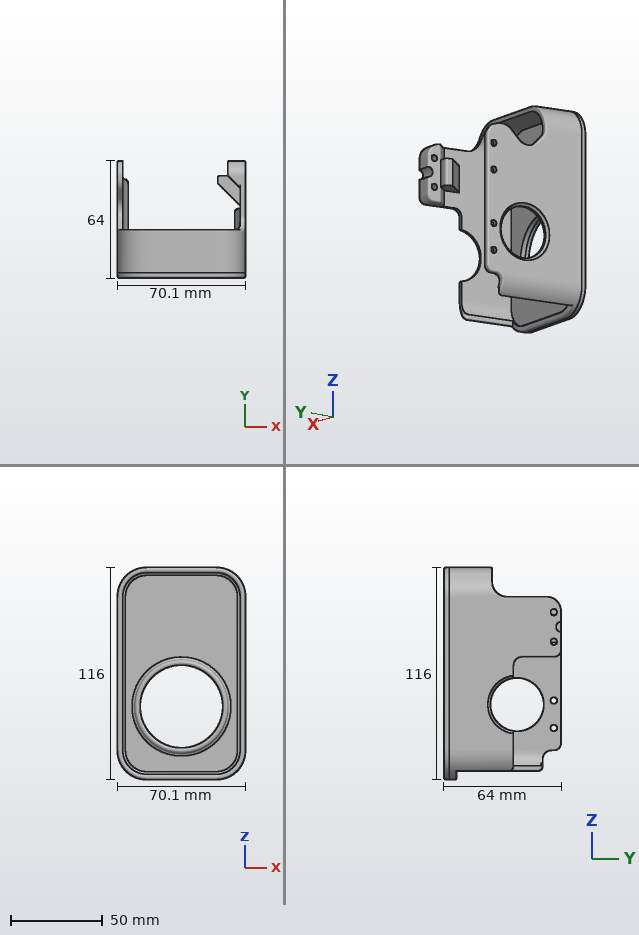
import cadquery as cq
import math

WIDTH = 70.1
DEPTH = 64.0
HEIGHT = 116
CORNER_R = 16.0
WALL = 3.0
EDGE_R = 1.0
HALF_WIDTH = WIDTH / 2
TOLERANCE = 0.06

BEAD_R = WALL / 2
PLATE_FRONT = 2 * BEAD_R
PLATE_BACK = PLATE_FRONT + WALL

LENS_R = 22.5
LENS_Z = 40.0

ROOF_DEPTH = 26.5
SIDE_TOP = HEIGHT - CORNER_R
SIDE_BOTTOM = CORNER_R
BLEND_R = 8.0
FOOT_CORNER_R = 4.0
FOOT_BLEND_R = 4.6
FOOT_END_R = 2.3
LEFT_FOOT_DEPTH = 54.0
RIGHT_FOOT_DEPTH = 38.0
NOTCH_BOTTOM = 90.0
NOTCH_EXIT_R = 5.5

WINDOW_R = 14.5
WINDOW_CHAMFER = 1.5
WINDOW_Y = 40.0
WINDOW_Z = 41.1

FLOOR_LIP = 7.0
FLOOR_MARGIN = 6.0

SCREW_R = 1.7
SCREW_Y = DEPTH - 4.0
LEFT_SCREWS_Z = (28.3, 43.3, 73.3, 88.3)
RIGHT_SCREWS_Z = (75.4, 91.5)

BLOCK_THICKNESS = 9.9
BLOCK_LENGTH = 8.0
BLOCK_BOTTOM = 67.0
CABLE_NOTCH_R = 2.8
CABLE_NOTCH_Z = sum(RIGHT_SCREWS_Z) / 2
SHELF_THICKNESS = 15.3
SHELF_TIP = 4.2
SHELF_TIP_R = 1.4
SHELF_TOP = 91.0
SHELF_BOTTOM = 2 * CABLE_NOTCH_Z - SHELF_TOP


def rounded_block(inset, y_start, y_end):
    """Upright rounded slab, inset evenly from the outer outline of the housing."""
    return (
        cq.Workplane("XZ", origin=(0, y_start, HEIGHT / 2))
        .rect(WIDTH - 2 * inset, HEIGHT - 2 * inset)
        .extrude(y_start - y_end)
        .edges("|Y")
        .fillet(CORNER_R - inset)
    )


def side_sketch(x):
    return cq.Workplane("YZ", origin=(x, 0, 0))


def left_side_region():
    """Side outline of the left half: a tall ear with a valley between it and the roof."""
    diagonal = math.sqrt(0.5)
    step = BLEND_R * diagonal
    exit_step = NOTCH_EXIT_R * diagonal
    exit_y = ROOF_DEPTH + NOTCH_EXIT_R - exit_step
    exit_z = SIDE_TOP - exit_step
    valley_z = NOTCH_BOTTOM + BLEND_R
    valley_y = exit_y + exit_z - (valley_z - step) + step
    ear_z = SIDE_TOP - BLEND_R
    ear_y = valley_y + 4 * step - (valley_z - ear_z)
    return (
        side_sketch(-HALF_WIDTH)
        .moveTo(0, 0)
        .lineTo(0, HEIGHT)
        .lineTo(ROOF_DEPTH, HEIGHT)
        .lineTo(ROOF_DEPTH, SIDE_TOP)
        .radiusArc((exit_y, exit_z), -NOTCH_EXIT_R)
        .lineTo(valley_y - step, valley_z - step)
        .radiusArc((valley_y + step, valley_z - step), -BLEND_R)
        .lineTo(ear_y - step, ear_z + step)
        .radiusArc((ear_y, SIDE_TOP), BLEND_R)
        .lineTo(DEPTH - BLEND_R, SIDE_TOP)
        .radiusArc((DEPTH, ear_z), BLEND_R)
        .lineTo(DEPTH, SIDE_BOTTOM + FOOT_CORNER_R)
        .radiusArc((DEPTH - FOOT_CORNER_R, SIDE_BOTTOM), FOOT_CORNER_R)
        .lineTo(LEFT_FOOT_DEPTH + FOOT_BLEND_R, SIDE_BOTTOM)
        .radiusArc((LEFT_FOOT_DEPTH, SIDE_BOTTOM - FOOT_BLEND_R), -FOOT_BLEND_R)
        .lineTo(LEFT_FOOT_DEPTH, 0)
        .close()
        .extrude(HALF_WIDTH)
    )


def right_side_region():
    """Side outline of the right half: an arm at the top that carries the mounting block."""
    return (
        side_sketch(0)
        .moveTo(0, 0)
        .lineTo(0, HEIGHT)
        .lineTo(ROOF_DEPTH, HEIGHT)
        .lineTo(ROOF_DEPTH, SIDE_TOP + BLEND_R)
        .radiusArc((ROOF_DEPTH + BLEND_R, SIDE_TOP), -BLEND_R)
        .lineTo(DEPTH - BLEND_R, SIDE_TOP)
        .radiusArc((DEPTH, SIDE_TOP - BLEND_R), BLEND_R)
        .lineTo(DEPTH, BLOCK_BOTTOM + FOOT_CORNER_R)
        .radiusArc((DEPTH - FOOT_CORNER_R, BLOCK_BOTTOM), FOOT_CORNER_R)
        .lineTo(RIGHT_FOOT_DEPTH + FOOT_BLEND_R, BLOCK_BOTTOM)
        .radiusArc((RIGHT_FOOT_DEPTH, BLOCK_BOTTOM - FOOT_BLEND_R), -FOOT_BLEND_R)
        .lineTo(RIGHT_FOOT_DEPTH, 0)
        .close()
        .extrude(HALF_WIDTH)
    )


def floor_opening():
    """Opening through the floor, from the front lip out through the back."""
    return (
        cq.Workplane("XY")
        .rect(WIDTH - 2 * FLOOR_MARGIN, DEPTH - FLOOR_LIP)
        .extrude(SIDE_BOTTOM)
        .translate((0, (DEPTH + FLOOR_LIP) / 2, 0))
    )


def round_foot_end(housing, x, y):
    """Round the upright edge where the floor opening meets the end of a side wall."""
    corners = [
        edge
        for edge in housing.edges("|Z").vals()
        if math.hypot(edge.Center().x - x, edge.Center().y - y) < TOLERANCE
    ]
    return housing.newObject(corners).fillet(FOOT_END_R)


def depth_below_outline(point):
    """Depth of a point below the outer outline of the housing, seen along Y."""
    corner_x = max(abs(point.x) - (HALF_WIDTH - CORNER_R), 0)
    corner_z = max(abs(point.z - HEIGHT / 2) - (HEIGHT / 2 - CORNER_R), 0)
    return CORNER_R - math.hypot(corner_x, corner_z)


def outer_rims(housing):
    """Edges behind the plate that run along the outer face of the wall."""
    rims = []
    for edge in housing.edges().vals():
        points = [edge.positionAt(t) for t in (0, 0.3, 0.6, 1)]
        on_outside = all(abs(depth_below_outline(point)) < TOLERANCE for point in points)
        if on_outside and edge.BoundingBox().ymin > PLATE_BACK + TOLERANCE:
            rims.append(edge)
    return rims


def gusset(thickness, y_end, tip, z_bottom, z_top):
    """Slab along the inside of the right wall that tapers back into it at 45 degrees."""
    face_x = HALF_WIDTH - thickness
    root_x = HALF_WIDTH - WALL / 2
    taper_y = y_end - tip
    return (
        cq.Workplane("XY", origin=(0, 0, z_bottom))
        .moveTo(face_x, y_end)
        .lineTo(root_x, y_end)
        .lineTo(root_x, taper_y - (root_x - face_x))
        .lineTo(face_x, taper_y)
        .close()
        .extrude(z_top - z_bottom)
    )


def mounting_block():
    """Thick pad for the right-hand screws, with its tapered front corner and top rounded."""
    face_x = HALF_WIDTH - BLOCK_THICKNESS
    root_x = HALF_WIDTH - WALL / 2
    block = gusset(BLOCK_THICKNESS, DEPTH, BLOCK_LENGTH, BLOCK_BOTTOM, HEIGHT)
    block = block.intersect(right_side_region())
    tip_edges = [
        edge
        for edge in block.edges("|Z").vals()
        if edge.Center().x < face_x + TOLERANCE and edge.Center().y < DEPTH - BLOCK_LENGTH + TOLERANCE
    ]
    block = block.newObject(tip_edges).fillet(EDGE_R)
    face_edges = [
        edge for edge in block.faces("<X").edges().vals() if edge.Center().y > DEPTH - BLOCK_LENGTH + BEAD_R / 2
    ]
    top_edges = [edge for edge in block.edges(">Z").vals() if edge.BoundingBox().xmin < root_x - TOLERANCE]
    return block.newObject(face_edges + top_edges).fillet(EDGE_R)


def shelf():
    """Deeper tapered slab in front of the mounting block, with a rounded tip."""
    face_x = HALF_WIDTH - SHELF_THICKNESS
    y_end = DEPTH - BLOCK_LENGTH
    slab = gusset(SHELF_THICKNESS, y_end, SHELF_TIP, SHELF_BOTTOM, SHELF_TOP)
    tip_edges = [
        edge
        for edge in slab.edges("|Z").vals()
        if edge.Center().x < face_x + TOLERANCE and edge.Center().y > y_end - TOLERANCE
    ]
    return slab.newObject(tip_edges).fillet(SHELF_TIP_R)


def window():
    """Round side window through both walls, chamfered on the outside."""
    flare = WINDOW_R + WINDOW_CHAMFER
    cut = side_sketch(-HALF_WIDTH).center(WINDOW_Y, WINDOW_Z).circle(WINDOW_R).extrude(WIDTH)
    for side in (-1, 1):
        start = cq.Vector(side * HALF_WIDTH, WINDOW_Y, WINDOW_Z)
        cut = cut.union(
            cq.Workplane(cq.Solid.makeCone(flare, WINDOW_R, WINDOW_CHAMFER, start, cq.Vector(-side, 0, 0)))
        )
    return cut


def side_hole(x_start, y, z, radius):
    """Cutter along X that reaches from x_start through half of the width."""
    return side_sketch(x_start).center(y, z).circle(radius).extrude(HALF_WIDTH)


def make_housing():
    shell = rounded_block(0, PLATE_FRONT, DEPTH).cut(rounded_block(WALL, PLATE_BACK, DEPTH))
    housing = shell.intersect(left_side_region().union(right_side_region())).cut(floor_opening())
    foot_x = HALF_WIDTH - FLOOR_MARGIN
    housing = round_foot_end(housing, -foot_x, LEFT_FOOT_DEPTH)
    housing = round_foot_end(housing, foot_x, RIGHT_FOOT_DEPTH)
    housing = housing.newObject(outer_rims(housing)).fillet(EDGE_R)
    housing = housing.union(mounting_block()).union(shelf())
    lens = cq.Workplane("XZ", origin=(0, 0, LENS_Z)).circle(LENS_R).extrude(-FLOOR_LIP)
    housing = housing.cut(lens).cut(window())
    for z in LEFT_SCREWS_Z:
        housing = housing.cut(side_hole(-HALF_WIDTH, SCREW_Y, z, SCREW_R))
    for z in RIGHT_SCREWS_Z:
        housing = housing.cut(side_hole(0, SCREW_Y, z, SCREW_R).translate((TOLERANCE, 0, 0)))
    return housing.cut(side_hole(0, DEPTH, CABLE_NOTCH_Z, CABLE_NOTCH_R).translate((TOLERANCE, 0, 0)))


def make_outer_rim():
    """Bead round the front outline: a half-round crest and a concave foot on its inner side."""
    bead = rounded_block(0, 0, PLATE_FRONT).cut(rounded_block(WALL, 0, PLATE_FRONT))
    bead = bead.faces("<Y").edges().fillet(BEAD_R - TOLERANCE)
    foot = rounded_block(WALL, BEAD_R, PLATE_FRONT).cut(rounded_block(WALL + BEAD_R, BEAD_R, PLATE_FRONT))
    cove = rounded_block(WALL, 0, BEAD_R).union(rounded_block(WALL, BEAD_R, PLATE_FRONT))
    cove = cove.faces(">Y").edges().fillet(BEAD_R - TOLERANCE)
    return bead.union(foot.cut(cove))


def make_lens_ring():
    """Bead round the lens opening: a half-round crest and a concave foot on its outer side."""
    crest_r = LENS_R + BEAD_R
    flank_r = LENS_R + 2 * BEAD_R
    foot_r = flank_r + BEAD_R
    cove_x = foot_r - BEAD_R * math.sqrt(0.5)
    cove_y = BEAD_R + BEAD_R * math.sqrt(0.5)
    return (
        cq.Workplane("XY")
        .moveTo(LENS_R, PLATE_FRONT)
        .lineTo(LENS_R, BEAD_R)
        .threePointArc((crest_r, 0), (flank_r, BEAD_R))
        .threePointArc((cove_x, cove_y), (foot_r, PLATE_FRONT))
        .close()
        .revolve(360, (0, 0, 0), (0, 1, 0))
        .translate((0, 0, LENS_Z))
    )


housing = make_housing()
outer_rim = make_outer_rim()
lens_ring = make_lens_ring()

result = cq.Compound.makeCompound([housing.val(), outer_rim.val(), lens_ring.val()])